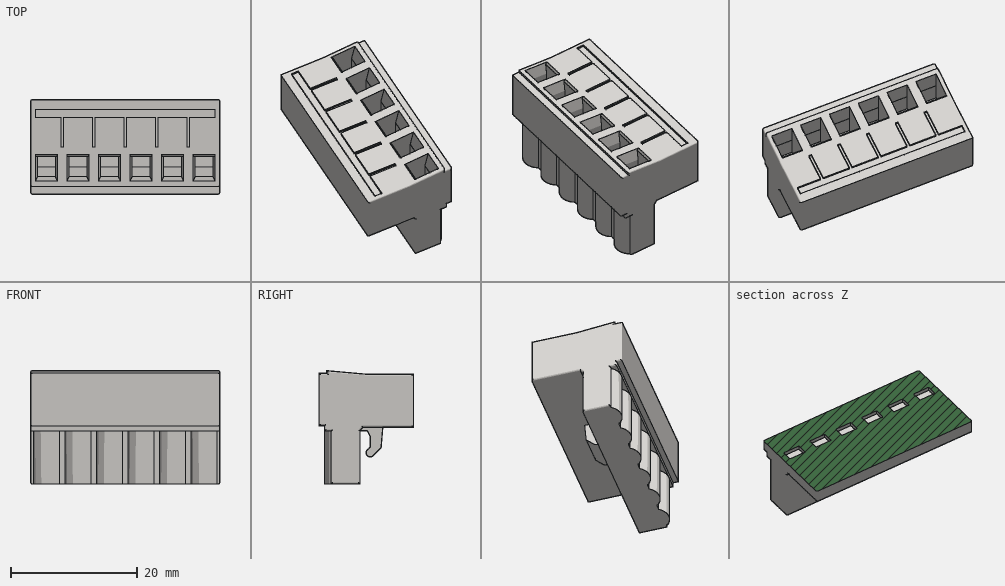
import cadquery as cq
import math

LENGTH = 30.0
DEPTH = 15.0
HEIGHT = 18.0
POLES = 6
PITCH = LENGTH / POLES
END_FILLET = 0.3
FRONT = -DEPTH / 2
BACK = DEPTH / 2

TOP_Z = 17.45
LEDGE_Z = 17.6
OVERHANG_Z = 9.0
FRONT_LIP_Z = 9.25
STEP_Z = 8.4
CORNER_Z = 8.5
CORNER_RUN = 0.42

SLOPE_START_Y = 0.0
CREST_Y = FRONT + 1.4
RIDGE_Y = FRONT + 1.23
STEP_Y = FRONT + 0.87
STEM_FRONT_Y = FRONT + 1.92
STEM_BACK_Y = FRONT + 6.5

COLUMN_WIDTH = 4.08

RECESS_DEPTH = 0.3
SLOT_LENGTH = 28.5
SLOT_BACK_Y = FRONT + 13.4
SLOT_FRONT_Y = FRONT + 12.18
GROOVE_WIDTH = 0.45

WELL_WIDTH = 3.48
WELL_FRONT_Y = FRONT + 2.07
WELL_BACK_Y = FRONT + 6.3
BEVEL_WIDTH = 0.3
BEVEL_DEPTH = 0.33
TAPER_DEPTH = 2.2
SIDE_INSET = 0.33
FRONT_INSET = 0.75
SHELF_Z = 12.0
SHELF_EDGE_Y = FRONT + 4.32
SHELF_FILLET = 0.27
WELL_FLOOR_Z = 10.5

LATCH_WIDTH = PITCH
LATCH_ROOT_BACK_Y = FRONT + 10.15
LATCH_KNEE_Y = FRONT + 9.87
LATCH_KNEE_Z = 5.8
LATCH_INNER_Y = FRONT + 8.13
LATCH_INNER_TOP_Z = 7.55
LATCH_ROOT_FRONT_Y = FRONT + 7.68
LATCH_ROOT_Z = 8.45
TIP_Y = FRONT + 8.13
TIP_Z = 4.98
TIP_RADIUS = 0.65

pole_xs = [(i - (POLES - 1) / 2) * PITCH for i in range(POLES)]


def extrude_along_x(outline, width):
    """Extrude a closed YZ outline symmetrically about X = 0."""
    return outline.extrude(width / 2, both=True)


def sloped_top_z(y):
    """Height of the rising front half of the top at position y."""
    rise_fraction = (SLOPE_START_Y - y) / (SLOPE_START_Y - CREST_Y)
    return TOP_Z + rise_fraction * (HEIGHT - TOP_Z)


def make_body():
    """Housing and stem with rounded end edges; the crest is trimmed flat at full height."""
    profile = [
        (BACK, TOP_Z),
        (SLOPE_START_Y, TOP_Z),
        (RIDGE_Y, sloped_top_z(RIDGE_Y)),
        (RIDGE_Y, LEDGE_Z),
        (FRONT, LEDGE_Z),
        (FRONT, FRONT_LIP_Z),
        (STEP_Y, FRONT_LIP_Z),
        (STEP_Y, STEP_Z),
        (STEM_FRONT_Y, STEP_Z),
        (STEM_FRONT_Y, 0),
        (STEM_BACK_Y, 0),
        (STEM_BACK_Y, CORNER_Z),
        (STEM_BACK_Y + CORNER_RUN, OVERHANG_Z),
        (BACK, OVERHANG_Z),
    ]
    body = extrude_along_x(cq.Workplane("YZ").polyline(profile).close(), LENGTH)
    body = body.faces("<X or >X").edges().fillet(END_FILLET)
    trim = cq.Workplane("XY").workplane(offset=HEIGHT).rect(LENGTH, DEPTH).extrude(HEIGHT)
    return body.cut(trim)


def make_columns():
    """Segments of round columns, one per pole, bulging from the stem to the step face."""
    half = COLUMN_WIDTH / 2
    columns = cq.Workplane("XY")
    for x in pole_xs:
        columns = columns.union(
            cq.Workplane("XY")
            .moveTo(x - half, STEM_FRONT_Y)
            .threePointArc((x, STEP_Y), (x + half, STEM_FRONT_Y))
            .close()
            .extrude(STEP_Z)
        )
    return columns


def make_recess():
    """Long slot with grooves running forward between the poles."""
    plane = cq.Workplane("XY").workplane(offset=TOP_Z - RECESS_DEPTH)
    slot_center_y = (SLOT_BACK_Y + SLOT_FRONT_Y) / 2
    recess = (
        plane.center(0, slot_center_y)
        .rect(SLOT_LENGTH, SLOT_BACK_Y - SLOT_FRONT_Y)
        .extrude(RECESS_DEPTH)
    )
    groove_length = slot_center_y - SLOPE_START_Y
    groove_xs = [x + PITCH / 2 for x in pole_xs[:-1]]
    grooves = (
        plane.pushPoints([(x, SLOPE_START_Y + groove_length / 2) for x in groove_xs])
        .rect(GROOVE_WIDTH, groove_length)
        .extrude(RECESS_DEPTH)
    )
    return recess.union(grooves)


def well_section(depth, back_y):
    """Four-sided wire of the well mouth, parallel to the sloped top at the given depth."""
    inset_fraction = depth / TAPER_DEPTH
    half = WELL_WIDTH / 2 - SIDE_INSET * inset_fraction
    front_y = WELL_FRONT_Y + FRONT_INSET * inset_fraction
    corners = [(-half, front_y), (half, front_y), (half, back_y), (-half, back_y)]
    points = [cq.Vector(x, y, sloped_top_z(y) - depth) for x, y in corners]
    return cq.Wire.makePolygon(points, close=True)


def make_well():
    """Tapered mouth with a bevelled back edge above a straight shaft with a rounded shelf."""
    shaft_back_y = WELL_BACK_Y - BEVEL_WIDTH
    mouth = well_section(0, WELL_BACK_Y)
    bevel_foot = well_section(BEVEL_DEPTH, shaft_back_y)
    taper_foot = well_section(TAPER_DEPTH, shaft_back_y)
    well = cq.Workplane(cq.Solid.makeLoft([taper_foot, bevel_foot], True))
    well = well.union(cq.Workplane(cq.Solid.makeLoft([bevel_foot, mouth], True)))

    shaft_width = WELL_WIDTH - 2 * SIDE_INSET
    shaft_front_y = WELL_FRONT_Y + FRONT_INSET
    round_offset = SHELF_FILLET * (1 - math.sqrt(0.5))
    shaft = (
        cq.Workplane("YZ")
        .moveTo(shaft_front_y, sloped_top_z(shaft_front_y) - TAPER_DEPTH)
        .lineTo(shaft_front_y, SHELF_Z)
        .lineTo(SHELF_EDGE_Y - SHELF_FILLET, SHELF_Z)
        .threePointArc(
            (SHELF_EDGE_Y - round_offset, SHELF_Z - round_offset),
            (SHELF_EDGE_Y, SHELF_Z - SHELF_FILLET),
        )
        .lineTo(SHELF_EDGE_Y, WELL_FLOOR_Z)
        .lineTo(shaft_back_y, WELL_FLOOR_Z)
        .lineTo(shaft_back_y, sloped_top_z(shaft_back_y) - TAPER_DEPTH)
        .close()
    )
    return well.union(extrude_along_x(shaft, shaft_width))


def make_latch():
    """Hook hanging from the overhang, its round tip turned toward the stem."""
    diagonal = TIP_RADIUS * math.sqrt(0.5)
    outline = (
        cq.Workplane("YZ")
        .moveTo(STEM_BACK_Y, OVERHANG_Z)
        .lineTo(LATCH_ROOT_BACK_Y, OVERHANG_Z)
        .lineTo(LATCH_KNEE_Y, LATCH_KNEE_Z)
        .lineTo(TIP_Y + diagonal, TIP_Z - diagonal)
        .threePointArc(
            (TIP_Y - diagonal, TIP_Z - diagonal),
            (TIP_Y - diagonal, TIP_Z + diagonal),
        )
        .lineTo(LATCH_INNER_Y, TIP_Z + 2 * diagonal + LATCH_INNER_Y - TIP_Y)
        .lineTo(LATCH_INNER_Y, LATCH_INNER_TOP_Z)
        .lineTo(LATCH_ROOT_FRONT_Y, LATCH_ROOT_Z)
        .lineTo(STEM_BACK_Y, LATCH_ROOT_Z)
        .close()
    )
    return extrude_along_x(outline, LATCH_WIDTH)


body = make_body().union(make_columns()).union(make_latch())
body = body.cut(make_recess())
well = make_well()
for pole_x in pole_xs:
    body = body.cut(well.translate((pole_x, 0, 0)))
result = body